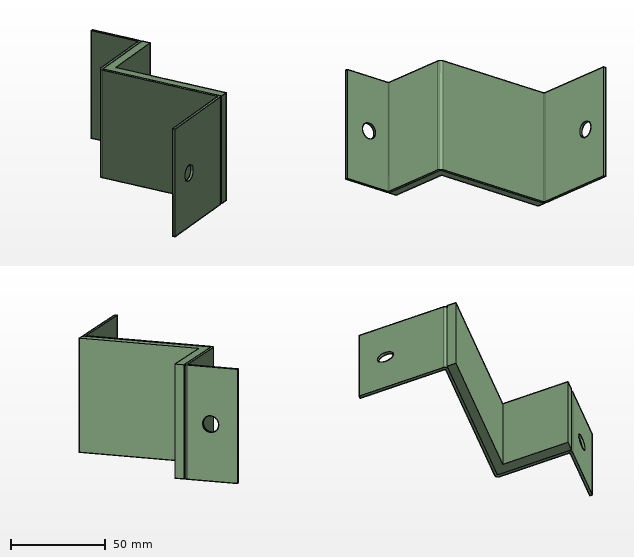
import cadquery as cq

LENGTH = 102.0
DEPTH = 92.0
HEIGHT = 62.0

SHEET = 1.5
INNER_BEND = 0.5
OUTER_BEND = INNER_BEND + SHEET
HOLE_DIAMETER = 9.0
HOLE_FROM_END = 15.0

BAR_THICKNESS = 5.0
BAR_LEFT = 30.0
BAR_DEPTH = 42.0

BAR_FRONT = -BAR_DEPTH
WEB_LEFT = BAR_LEFT - SHEET
WEB_FRONT = BAR_FRONT - SHEET
FLANGE_LEFT = LENGTH - SHEET


def vertical_edge(x, y):
    """Select the upright edge at the given plan position."""
    margin = SHEET / 10
    return cq.selectors.BoxSelector(
        (x - margin, y - margin, -margin),
        (x + margin, y + margin, HEIGHT + margin),
    )


def make_bracket():
    """Sheet bent three times, with one hole in each end flange."""
    sheet = (
        cq.Workplane("XY")
        .moveTo(0, 0)
        .lineTo(BAR_LEFT, 0)
        .lineTo(BAR_LEFT, BAR_FRONT)
        .lineTo(LENGTH, BAR_FRONT)
        .lineTo(LENGTH, -DEPTH)
        .lineTo(FLANGE_LEFT, -DEPTH)
        .lineTo(FLANGE_LEFT, WEB_FRONT)
        .lineTo(WEB_LEFT, WEB_FRONT)
        .lineTo(WEB_LEFT, -SHEET)
        .lineTo(0, -SHEET)
        .close()
        .extrude(HEIGHT)
    )

    bends = [
        ((BAR_LEFT, 0), (WEB_LEFT, -SHEET)),
        ((WEB_LEFT, WEB_FRONT), (BAR_LEFT, BAR_FRONT)),
        ((LENGTH, BAR_FRONT), (FLANGE_LEFT, WEB_FRONT)),
    ]
    for outer_corner, inner_corner in bends:
        sheet = sheet.edges(vertical_edge(*outer_corner)).fillet(OUTER_BEND)
        sheet = sheet.edges(vertical_edge(*inner_corner)).fillet(INNER_BEND)

    rear_hole = (
        cq.Workplane("XZ")
        .center(HOLE_FROM_END, HEIGHT / 2)
        .circle(HOLE_DIAMETER / 2)
        .extrude(SHEET)
    )
    front_hole = (
        cq.Workplane("YZ", origin=(FLANGE_LEFT, 0, 0))
        .center(HOLE_FROM_END - DEPTH, HEIGHT / 2)
        .circle(HOLE_DIAMETER / 2)
        .extrude(SHEET)
    )
    return sheet.cut(rear_hole).cut(front_hole)


def make_bar():
    """L-shaped bar seated against both webs, rounded to fit the middle bend."""
    bar = (
        cq.Workplane("XY")
        .moveTo(BAR_LEFT, 0)
        .lineTo(BAR_LEFT + BAR_THICKNESS, 0)
        .lineTo(BAR_LEFT + BAR_THICKNESS, BAR_FRONT + BAR_THICKNESS)
        .lineTo(LENGTH, BAR_FRONT + BAR_THICKNESS)
        .lineTo(LENGTH, BAR_FRONT)
        .lineTo(BAR_LEFT, BAR_FRONT)
        .close()
        .extrude(HEIGHT)
    )
    return bar.edges(vertical_edge(BAR_LEFT, BAR_FRONT)).fillet(INNER_BEND)


bracket = make_bracket()
bar = make_bar()
result = cq.Compound.makeCompound([bracket.val(), bar.val()])